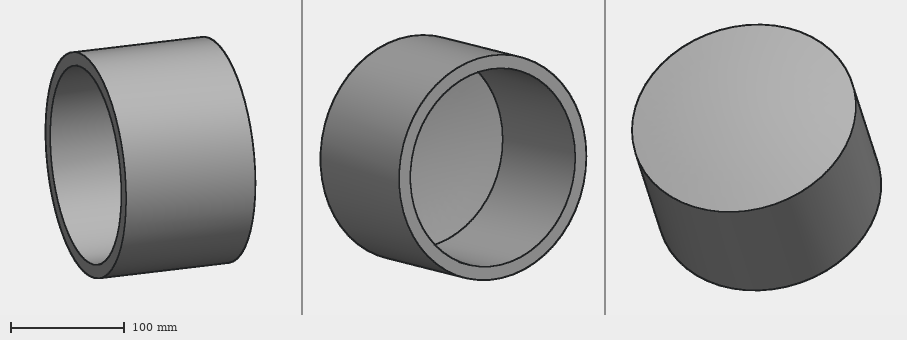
import cadquery as cq
import math

outer_radius = 100.0
wall = 12.0
total_length = 133.5
dome_height = 12.0

inner_radius = outer_radius - wall
half_length = total_length / 2
open_y = -half_length
outer_apex_y = half_length
outer_rim_y = outer_apex_y - dome_height

outer_dome_radius = (outer_radius**2 + dome_height**2) / (2 * dome_height)
inner_dome_radius = outer_dome_radius - wall
dome_center_y = outer_apex_y - outer_dome_radius


def dome_y(sphere_radius, distance):
    """Y of a dome face at a given distance from the axis."""
    return dome_center_y + math.sqrt(sphere_radius**2 - distance**2)


half_section = (
    cq.Workplane("XY")
    .moveTo(inner_radius, open_y)
    .lineTo(outer_radius, open_y)
    .lineTo(outer_radius, outer_rim_y)
    .threePointArc(
        (outer_radius / 2, dome_y(outer_dome_radius, outer_radius / 2)),
        (0, outer_apex_y),
    )
    .lineTo(0, outer_apex_y - wall)
    .threePointArc(
        (inner_radius / 2, dome_y(inner_dome_radius, inner_radius / 2)),
        (inner_radius, dome_y(inner_dome_radius, inner_radius)),
    )
    .close()
)

result = half_section.revolve(360, (0, 0, 0), (0, 1, 0))